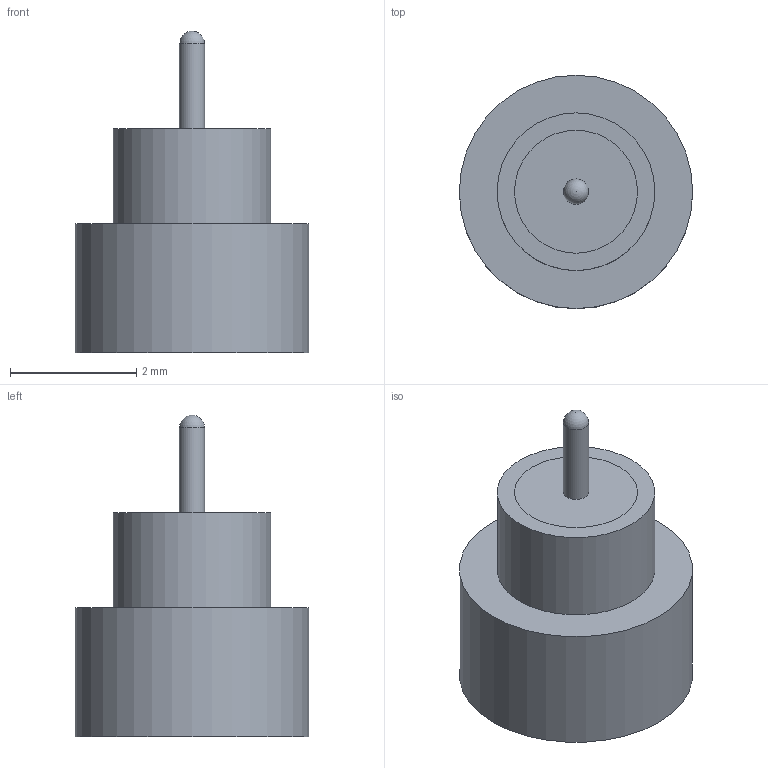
import cadquery as cq

BODY_DIAMETER = 3.7
BODY_HEIGHT = 2.05
COLLAR_DIAMETER = 2.5
COLLAR_HEIGHT = 1.5
INSULATOR_DIAMETER = 1.95
PIN_DIAMETER = 0.4
PIN_LENGTH = 1.55

COLLAR_TOP = BODY_HEIGHT + COLLAR_HEIGHT
PIN_RADIUS = PIN_DIAMETER / 2
PIN_SHANK_LENGTH = PIN_LENGTH - PIN_RADIUS


def cylinder(diameter, height, base_z):
    """Upright cylinder on the Z axis, standing on base_z."""
    return cq.Workplane("XY", origin=(0, 0, base_z)).circle(diameter / 2).extrude(height)


def make_shell():
    """Stepped outer body whose collar has a bore for the insulator."""
    body = cylinder(BODY_DIAMETER, BODY_HEIGHT, 0)
    collar = cylinder(COLLAR_DIAMETER, COLLAR_HEIGHT, BODY_HEIGHT)
    bore = cylinder(INSULATOR_DIAMETER, COLLAR_HEIGHT, BODY_HEIGHT)
    return body.union(collar).cut(bore)


def make_insulator():
    """Disc that fills the collar bore, flush with the collar top."""
    return cylinder(INSULATOR_DIAMETER, COLLAR_HEIGHT, BODY_HEIGHT)


def make_pin():
    """Centre pin with a hemispherical tip."""
    shank = cylinder(PIN_DIAMETER, PIN_SHANK_LENGTH, COLLAR_TOP)
    return shank.faces(">Z").workplane().sphere(PIN_RADIUS)


shell_with_insulator = make_shell().union(make_insulator(), clean=False)
result = shell_with_insulator.union(make_pin(), clean=False)